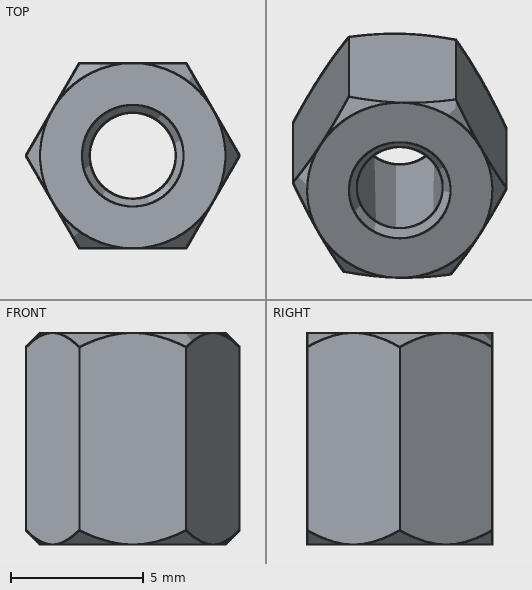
import cadquery as cq
import math

ACROSS_FLATS = 7.0
HEIGHT = 8.0
BORE_DIAMETER = 3.24
MOUTH_CHAMFER = 0.3

ACROSS_CORNERS = ACROSS_FLATS / math.cos(math.radians(30))
CORNER_CHAMFER = (ACROSS_CORNERS - ACROSS_FLATS) / 2


def hex_body():
    """Hexagonal prism standing on Z = 0, with two corners on the X axis."""
    return cq.Workplane("XY").polygon(6, ACROSS_CORNERS).extrude(HEIGHT)


def corner_envelope():
    """Cylinder through the hexagon corners, chamfered at both ends."""
    cylinder = cq.Workplane("XY").circle(ACROSS_CORNERS / 2).extrude(HEIGHT)
    return cylinder.faces("<Z or >Z").edges().chamfer(CORNER_CHAMFER)


def cut_bore(body):
    """Drill the through bore and chamfer its mouth at both ends."""
    bored = body.faces(">Z").workplane(origin=(0, 0, 0)).hole(BORE_DIAMETER)
    mouth_edges = bored.faces("<Z or >Z").edges(cq.selectors.RadiusNthSelector(0))
    return mouth_edges.chamfer(MOUTH_CHAMFER)


chamfered_hex = hex_body().intersect(corner_envelope())
result = cut_bore(chamfered_hex)